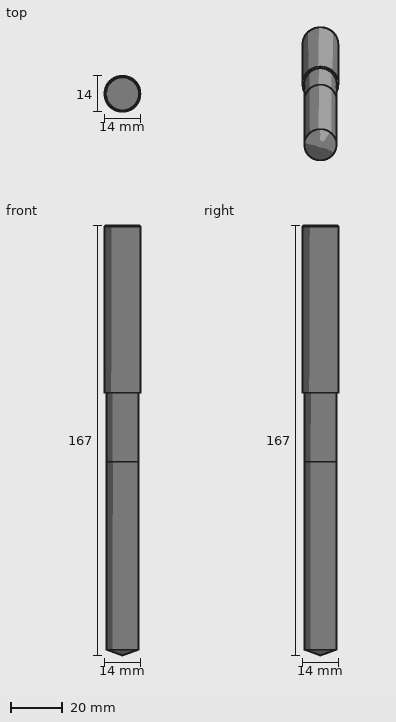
import cadquery as cq
import math

total_length = 167.0
shank_diameter = 14.0
shank_length = 65.1
shank_chamfer = 0.6
body_diameter = 12.5
cutter_length = 75.2
point_angle = 140.0

shank_radius = shank_diameter / 2
body_radius = body_diameter / 2
shank_bottom = total_length - shank_length
point_height = body_radius / math.tan(math.radians(point_angle / 2))


def revolve_about_z(profile):
    """Revolve a closed half profile of (radius, height) points about Z."""
    return cq.Workplane("XZ").polyline(profile).close().revolve(360, (0, 0), (0, 1))


def make_holder():
    """Chamfered shank with the thinner neck below it."""
    return revolve_about_z([
        (0, cutter_length),
        (body_radius, cutter_length),
        (body_radius, shank_bottom),
        (shank_radius, shank_bottom),
        (shank_radius, total_length - shank_chamfer),
        (shank_radius - shank_chamfer, total_length),
        (0, total_length),
    ])


def make_cutter():
    """Cylindrical cutting section with a conical point at the origin."""
    return revolve_about_z([
        (0, 0),
        (body_radius, point_height),
        (body_radius, cutter_length),
        (0, cutter_length),
    ])


holder = make_holder()
cutter = make_cutter()

result = cq.Compound.makeCompound([holder.val(), cutter.val()])